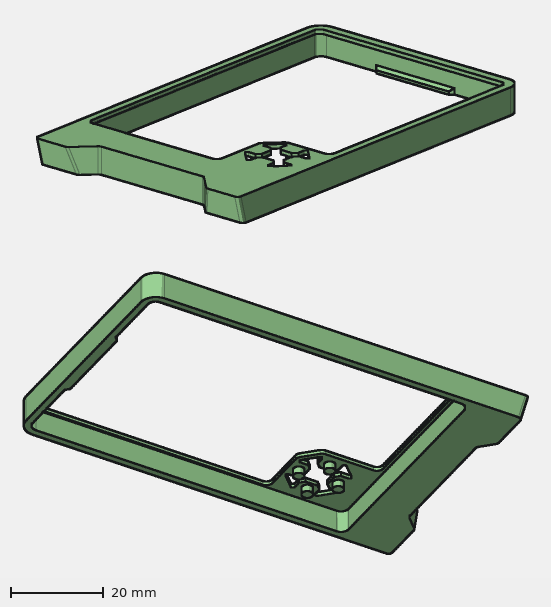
import cadquery as cq
import math

WIDTH = 57.6
LENGTH = 94.5
HEIGHT = 6.5
OUTER_RADIUS = 3.8

FOOT_DEPTH = 5.1
GAP_HALF_WIDTH = 14.7
FOOT_LEAN = 15.0
FOOT_RADIUS = 0.9

PLATE_THICKNESS = 1.0
SIDE_BORDER = 2.2
END_BORDER = 2.55
WINDOW_BOTTOM = 15.0
WINDOW_RADIUS = 1.5

TAB_PLATE_LEFT = 10.2
TAB_PLATE_TOP = 33.2
TAB_PLATE_CHAMFER = 4.1

STAR_X = 18.0
STAR_Y = 25.7
STAR_REACH = 6.8
STAR_TIP_RADIUS = 0.5
TAB_HALF_WIDTH = 2.55
TAB_TIP = 3.0
TAB_CHAMFER = 1.0

PRESSER_DIAMETER = 2.55
PRESSER_LENGTH = 1.7
PRESSER_OFFSET = 4.9

SIDE_LIP = 0.4
END_LIP = 0.85
CAVITY_RADIUS = 1.9

RIDGE_LENGTH = 22.2
RIDGE_HEIGHT = 1.5
RIDGE_DEPTH = 0.85
RIDGE_FACE = 0.8

HALF_WIDTH = WIDTH / 2
WINDOW_HALF_WIDTH = HALF_WIDTH - SIDE_BORDER
WINDOW_TOP = LENGTH - END_BORDER
CAVITY_TOP = WINDOW_TOP + END_LIP
CAVITY_BOTTOM = WINDOW_BOTTOM - END_LIP
CAVITY_HALF_WIDTH = WINDOW_HALF_WIDTH + SIDE_LIP
CAVITY_HEIGHT = HEIGHT - PLATE_THICKNESS


def make_body():
    """Block with rounded far corners, leaning feet and a flared gap between them."""
    lean = HEIGHT * math.tan(math.radians(FOOT_LEAN))
    profile = [(0, HEIGHT), (LENGTH, HEIGHT), (LENGTH, 0), (lean, 0)]
    body = cq.Workplane("YZ").polyline(profile).close().extrude(HALF_WIDTH, both=True)
    flare = GAP_HALF_WIDTH + FOOT_DEPTH
    gap_outline = [
        (-flare, 0),
        (-GAP_HALF_WIDTH, FOOT_DEPTH),
        (GAP_HALF_WIDTH, FOOT_DEPTH),
        (flare, 0),
    ]
    gap = cq.Workplane("XY").polyline(gap_outline).close().extrude(HEIGHT)
    body = body.cut(gap)
    body = body.edges("|Z").edges(">Y").fillet(OUTER_RADIUS)
    foot_edges = cq.selectors.BoxSelector(
        (-WIDTH, -FOOT_DEPTH, HEIGHT / 4),
        (WIDTH, 2 * FOOT_DEPTH, HEIGHT * 3 / 4),
    )
    return body.edges(foot_edges).fillet(FOOT_RADIUS)


def make_window():
    """L-shaped opening through the plate with rounded corners."""
    outline = [
        (-WINDOW_HALF_WIDTH, WINDOW_BOTTOM),
        (TAB_PLATE_LEFT, WINDOW_BOTTOM),
        (TAB_PLATE_LEFT, TAB_PLATE_TOP - TAB_PLATE_CHAMFER),
        (TAB_PLATE_LEFT + TAB_PLATE_CHAMFER, TAB_PLATE_TOP),
        (WINDOW_HALF_WIDTH, TAB_PLATE_TOP),
        (WINDOW_HALF_WIDTH, WINDOW_TOP),
        (-WINDOW_HALF_WIDTH, WINDOW_TOP),
    ]
    window = cq.Workplane("XY").polyline(outline).close().extrude(HEIGHT)
    return window.edges("|Z").fillet(WINDOW_RADIUS)


def make_cavity():
    """Rectangular recess that leaves only the plate above it."""
    return (
        cq.Workplane("XY")
        .center(0, (CAVITY_TOP + CAVITY_BOTTOM) / 2)
        .rect(2 * CAVITY_HALF_WIDTH, CAVITY_TOP - CAVITY_BOTTOM)
        .extrude(CAVITY_HEIGHT)
        .edges("|Z")
        .fillet(CAVITY_RADIUS)
    )


def make_star():
    """Four-armed opening that leaves a chamfered finger tab between each pair of arms."""
    tab_tip_half_width = TAB_HALF_WIDTH - TAB_CHAMFER
    chamfer_end = TAB_TIP + TAB_CHAMFER
    arm_tip = STAR_REACH * math.sqrt(2) - TAB_HALF_WIDTH
    quarter = (
        cq.Workplane("XY")
        .moveTo(0, 0)
        .lineTo(TAB_TIP, 0)
        .lineTo(TAB_TIP, tab_tip_half_width)
        .lineTo(chamfer_end, TAB_HALF_WIDTH)
        .lineTo(arm_tip, TAB_HALF_WIDTH)
        .lineTo(TAB_HALF_WIDTH, arm_tip)
        .lineTo(TAB_HALF_WIDTH, chamfer_end)
        .lineTo(tab_tip_half_width, TAB_TIP)
        .lineTo(0, TAB_TIP)
        .close()
        .extrude(HEIGHT)
    )
    quarter = quarter.edges("|Z").edges(">X or >Y").fillet(STAR_TIP_RADIUS)
    star = quarter
    for turn in range(1, 4):
        star = star.union(quarter.rotate((0, 0, 0), (0, 0, 1), 90 * turn))
    return star.translate((STAR_X, STAR_Y, 0))


def make_pressers():
    """Round posts hanging from the underside of the four tabs."""
    return (
        cq.Workplane("XY", origin=(STAR_X, STAR_Y, CAVITY_HEIGHT))
        .polarArray(PRESSER_OFFSET, 0, 360, 4)
        .circle(PRESSER_DIAMETER / 2)
        .extrude(-PRESSER_LENGTH)
    )


def make_ridge():
    """Ridge along the cavity wall with a sloped upper side and ends cut at 45 degrees."""
    tip = CAVITY_TOP - RIDGE_DEPTH
    base_half = RIDGE_LENGTH / 2
    tip_half = base_half - RIDGE_DEPTH
    section = [(CAVITY_TOP, 0), (tip, 0), (tip, RIDGE_FACE), (CAVITY_TOP, RIDGE_HEIGHT)]
    plan = [(-base_half, CAVITY_TOP), (-tip_half, tip), (tip_half, tip), (base_half, CAVITY_TOP)]
    bar = cq.Workplane("YZ").polyline(section).close().extrude(base_half, both=True)
    return bar.intersect(cq.Workplane("XY").polyline(plan).close().extrude(RIDGE_HEIGHT))


result = make_body().cut(make_cavity()).cut(make_window()).cut(make_star())
result = result.union(make_pressers()).union(make_ridge())